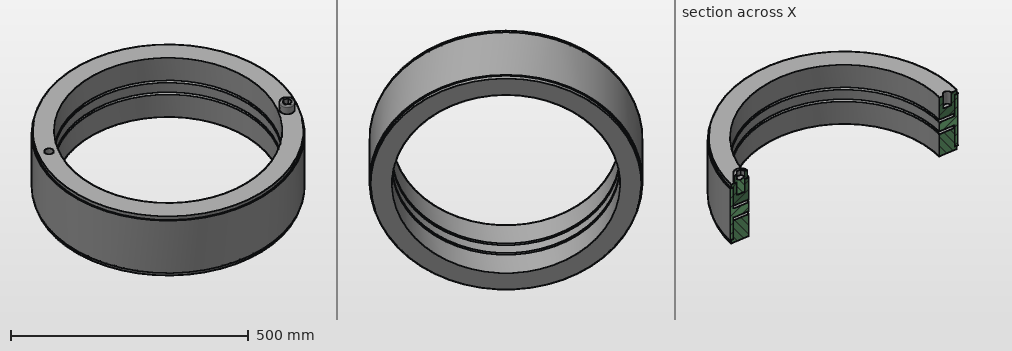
import cadquery as cq

outer_diameter = 575.0
bore_diameter = 480.0
cover_diameter = 569.0
stack_height = 161.5

rim_bottom = 9.0
rim_top = 152.0
tongue_bottom = 68.0
tongue_top = 94.0
leg_diameter = 558.0
gap_height = 6.5

hole_circle_radius = 260.0
hole_diameter = 19.5
hole_depth = 34.5

head_diameter = 33.0
head_height = 21.0
head_fillet = 2.5
socket_flats = 17.0
socket_depth = 14.5
socket_cone_depth = 4.5
HEXAGON_SIDES = 6
HEXAGON_CORNER_RATIO = 2 / 3**0.5


def cylinder(diameter, bottom, top):
    return cq.Workplane("XY").workplane(offset=bottom).circle(diameter / 2).extrude(top - bottom)


def ring(outside, inside, bottom, top):
    return cylinder(outside, bottom, top).cut(cylinder(inside, bottom, top))


def make_middle_ring():
    rim = ring(outer_diameter, leg_diameter, rim_bottom, rim_top)
    tongue = ring(leg_diameter, bore_diameter, tongue_bottom, tongue_top)
    return rim.union(tongue)


def make_lower_cover():
    flange = ring(cover_diameter, bore_diameter, 0, rim_bottom)
    leg = ring(leg_diameter, bore_diameter, rim_bottom, tongue_bottom - gap_height)
    return flange.union(leg)


def make_upper_cover():
    flange = ring(cover_diameter, bore_diameter, rim_top, stack_height)
    leg = ring(leg_diameter, bore_diameter, tongue_top + gap_height, rim_top)
    cover = flange.union(leg)
    for side in (-1, 1):
        hole = cylinder(hole_diameter, stack_height - hole_depth, stack_height)
        cover = cover.cut(hole.translate((0, side * hole_circle_radius, 0)))
    return cover


def make_socket(head_top):
    """Hexagonal socket, with points along Y, ending in a shallow cone."""
    corner_diameter = socket_flats * HEXAGON_CORNER_RATIO
    socket_floor = head_top - socket_depth
    hexagon = (
        cq.Workplane("XY")
        .workplane(offset=socket_floor)
        .transformed(rotate=(0, 0, 90))
        .polygon(HEXAGON_SIDES, corner_diameter)
        .extrude(socket_depth)
    )
    cone = cq.Workplane(
        cq.Solid.makeCone(
            socket_flats / 2, 0, socket_cone_depth, cq.Vector(0, 0, socket_floor), cq.Vector(0, 0, -1)
        )
    )
    return hexagon.union(cone)


def make_screw():
    head_top = stack_height + head_height
    head = cylinder(head_diameter, stack_height, head_top).faces(">Z").edges().fillet(head_fillet)
    shank = cylinder(hole_diameter, stack_height - hole_depth, stack_height)
    screw = head.union(shank).cut(make_socket(head_top))
    return screw.translate((0, hole_circle_radius, 0))


middle_ring = make_middle_ring()
lower_cover = make_lower_cover()
upper_cover = make_upper_cover()
screw = make_screw()

result = cq.Compound.makeCompound(
    [middle_ring.val(), lower_cover.val(), upper_cover.val(), screw.val()]
)